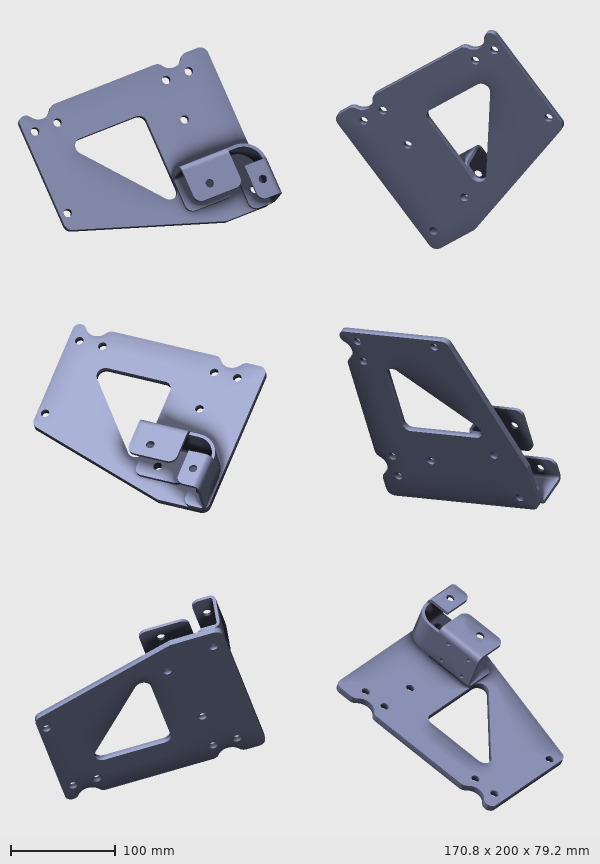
import cadquery as cq
import math

tilt = 26.2

plate_length = 166.2
plate_width = 200.0
plate_thickness = 6.5
slant_foot_x = 118.2
slant_top_y = 149.0
corner_radius = 8.0

notch_front_y = 23.0
notch_spacing = 140.0
notch_ys = [notch_front_y, notch_front_y + notch_spacing]
notch_radius = 12.2
notch_depth = 9.2
notch_blend = 7.5
pair_x = 18.0
pair_spacing = 24.0

hole_diameter = 8.2
lone_holes = [(60.0, 151.8), (103.0, 8.0)]

window_left = 40.0
window_right = 127.2
window_front = 41.0
window_radius = 8.0

sheet = 3.2
bracket_height = 42.6
bend_radius = 2 * sheet
wall_radius = 23.2
bracket_length = 60.0
wall_x = plate_length - bracket_length
front_flange_y = 116.8
front_flange_width = 50.0
front_flange_reach = 40.0
back_flange_reach = 24.6
flange_corner_radius = 8.0

window_back = front_flange_y

front_flange_hole = (plate_length - 33.5, front_flange_y + 20.0)
back_flange_hole = (plate_length - 18.6, plate_width - 13.2)

wall_hole_diameter = 4.0
wall_hole_spacing_y = 26.0
wall_hole_spacing_z = 22.0
wall_hole_centre_y = 139.8
wall_hole_centre_z = bracket_height / 2

over = 2.0


def nearest_edge(x, y, z):
    """Selector for the edge whose centre is closest to a point."""
    return cq.selectors.NearestToPointSelector((x, y, z))


def drill(body, points, bottom, height):
    """Cut vertical screw holes at the given points."""
    tools = cq.Workplane("XY").workplane(offset=bottom).pushPoints(points)
    return body.cut(tools.circle(hole_diameter / 2).extrude(height))


def notch_half_width():
    """Half the length of edge used up by a notch and its two blends."""
    rise = notch_blend + notch_radius - notch_depth
    return math.sqrt((notch_radius + notch_blend) ** 2 - rise ** 2)


def plate_blank():
    """Flat plate with one sloping edge, rounded at every corner but the blunt one."""
    outline = [
        (0, 0),
        (slant_foot_x, 0),
        (plate_length, slant_top_y),
        (plate_length, plate_width),
        (0, plate_width),
    ]
    blank = cq.Workplane("XY").polyline(outline).close().extrude(-plate_thickness)
    for x, y in [(slant_foot_x, 0), (plate_length, plate_width), (0, plate_width)]:
        blank = blank.edges(nearest_edge(x, y, -plate_thickness / 2)).fillet(corner_radius)
    notch_corner_radius = notch_front_y - notch_half_width()
    return blank.edges(nearest_edge(0, 0, -plate_thickness / 2)).fillet(notch_corner_radius)


def notch_cutter(centre_y):
    """Round notch that runs out into the left edge through a convex blend on each side."""
    half = notch_half_width()
    centre_x = notch_depth - notch_radius
    share = notch_radius / (notch_radius + notch_blend)
    join_x = centre_x + share * (notch_blend - centre_x)
    join_y = share * half
    angle = math.atan2(half, notch_blend - centre_x)
    blend_mid_x = notch_blend * (1 - math.cos(angle / 2))
    blend_mid_y = half - notch_blend * math.sin(angle / 2)
    return (
        cq.Workplane("XY", origin=(0, centre_y, 0))
        .moveTo(0, -half)
        .threePointArc((blend_mid_x, -blend_mid_y), (join_x, -join_y))
        .threePointArc((notch_depth, 0), (join_x, join_y))
        .threePointArc((blend_mid_x, blend_mid_y), (0, half))
        .lineTo(-over, half)
        .lineTo(-over, -half)
        .close()
        .extrude(-plate_thickness)
    )


def window_cutter():
    """Right triangle through the corner-arc centres, grown outward by the corner radius."""
    centres = [
        (window_left + window_radius, window_front + window_radius),
        (window_right - window_radius, window_back - window_radius),
        (window_left + window_radius, window_back - window_radius),
    ]
    triangle = cq.Workplane("XY").polyline(centres).close()
    return triangle.offset2D(window_radius, "arc").extrude(-plate_thickness)


def make_plate():
    plate = plate_blank().cut(window_cutter())
    holes = lone_holes + [front_flange_hole, back_flange_hole]
    for centre_y in notch_ys:
        plate = plate.cut(notch_cutter(centre_y))
        holes += [(pair_x, centre_y + side * pair_spacing / 2) for side in (-1, 1)]
    return drill(plate, holes, -plate_thickness, plate_thickness)


def upright_wall():
    """L-shaped wall between the bends, turning a large round corner."""
    wall = (
        cq.Workplane("XY", origin=(0, 0, bend_radius))
        .moveTo(wall_x, front_flange_y)
        .lineTo(wall_x, plate_width)
        .lineTo(plate_length, plate_width)
        .lineTo(plate_length, plate_width - sheet)
        .lineTo(wall_x + sheet, plate_width - sheet)
        .lineTo(wall_x + sheet, front_flange_y)
        .close()
        .extrude(bracket_height - 2 * bend_radius)
    )
    mid_z = bracket_height / 2
    wall = wall.edges(nearest_edge(wall_x, plate_width, mid_z)).fillet(wall_radius)
    inner_corner = nearest_edge(wall_x + sheet, plate_width - sheet, mid_z)
    return wall.edges(inner_corner).fillet(wall_radius - sheet)


def channel(plane, reach, width):
    """C-section opening along the plane's x, with rounded bends.

    The section stands on the plane's origin and is extruded along the plane's normal.
    """
    bend_inner = bend_radius - sheet
    top = bracket_height
    slant = math.sqrt(0.5)
    outer_mid = bend_radius * (1 - slant)
    inner_mid = bend_radius - bend_inner * slant
    return (
        cq.Workplane(plane)
        .moveTo(reach, 0)
        .lineTo(bend_radius, 0)
        .threePointArc((outer_mid, outer_mid), (0, bend_radius))
        .lineTo(0, top - bend_radius)
        .threePointArc((outer_mid, top - outer_mid), (bend_radius, top))
        .lineTo(reach, top)
        .lineTo(reach, top - sheet)
        .lineTo(bend_radius, top - sheet)
        .threePointArc((inner_mid, top - inner_mid), (sheet, top - bend_radius))
        .lineTo(sheet, bend_radius)
        .threePointArc((inner_mid, inner_mid), (bend_radius, sheet))
        .lineTo(reach, sheet)
        .close()
        .extrude(width)
    )


def front_channel():
    """Pair of flanges on the long wall, with both free corners rounded."""
    back_y = front_flange_y + front_flange_width
    plane = cq.Plane(origin=(wall_x, back_y, 0), xDir=(1, 0, 0), normal=(0, -1, 0))
    flanges = channel(plane, front_flange_reach, front_flange_width)
    return flanges.edges("|Z and >X").fillet(flange_corner_radius)


def back_channel():
    """Pair of flanges on the short wall, with the outer free corner rounded."""
    width = bracket_length - wall_radius
    plane = cq.Plane(origin=(plate_length, plate_width, 0), xDir=(0, -1, 0), normal=(-1, 0, 0))
    flanges = channel(plane, back_flange_reach, width)
    return flanges.edges("|Z and >X and <Y").fillet(flange_corner_radius)


def wall_hole_cutters():
    """Four small holes through the long wall."""
    return (
        cq.Workplane("YZ", origin=(wall_x, wall_hole_centre_y, wall_hole_centre_z))
        .rarray(wall_hole_spacing_y, wall_hole_spacing_z, 2, 2)
        .circle(wall_hole_diameter / 2)
        .extrude(sheet)
    )


def make_bracket():
    bracket = upright_wall().union(front_channel()).union(back_channel())
    bracket = bracket.cut(wall_hole_cutters())
    return drill(bracket, [front_flange_hole, back_flange_hole], 0, bracket_height)


def tilted(body):
    """Tilt a body about the Y axis so that its right-hand end drops."""
    return body.rotate((0, 0, 0), (0, 1, 0), tilt)


plate = tilted(make_plate())
bracket = tilted(make_bracket())

result = cq.Compound.makeCompound([plate.val(), bracket.val()])